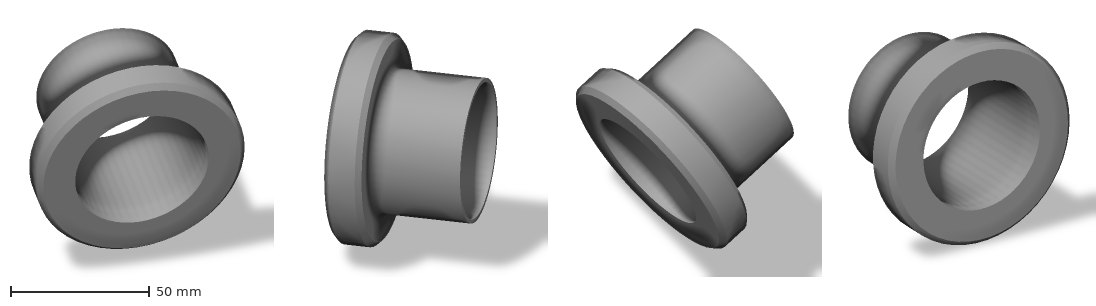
import cadquery as cq

total_length = 48.0
flange_diameter = 78.0
flange_thickness = 14.0
tube_diameter = 53.0
bore_diameter = 50.0
edge_chamfer = 2.0
root_fillet = 2.0

flange_start = total_length - flange_thickness
flange_radius = flange_diameter / 2
tube_radius = tube_diameter / 2
bore_radius = bore_diameter / 2

half_section = (
    cq.Workplane("XY")
    .moveTo(0, bore_radius)
    .lineTo(0, tube_radius)
    .lineTo(flange_start - root_fillet, tube_radius)
    .tangentArcPoint((root_fillet, root_fillet), relative=True)
    .lineTo(flange_start, flange_radius - edge_chamfer)
    .lineTo(flange_start + edge_chamfer, flange_radius)
    .lineTo(total_length - edge_chamfer, flange_radius)
    .lineTo(total_length, flange_radius - edge_chamfer)
    .lineTo(total_length, bore_radius)
    .close()
)

result = half_section.revolve(360, (0, 0, 0), (1, 0, 0))